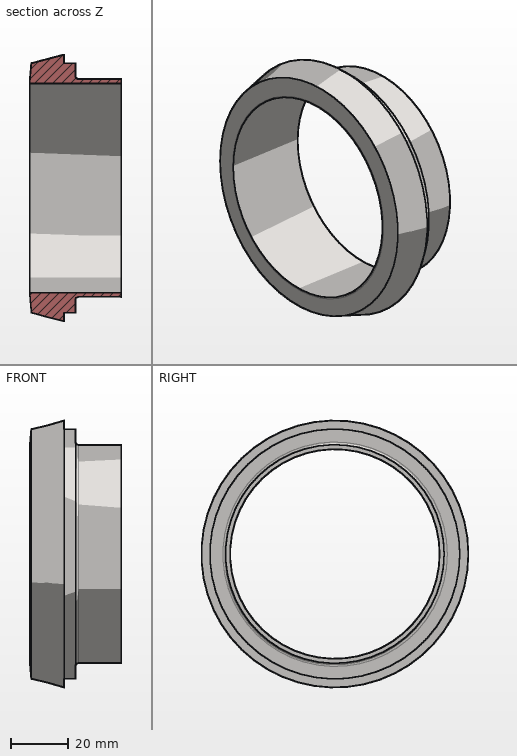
import cadquery as cq
total_length = 32.0
face_cone_depth = 0.6
flange_end = 12.0
collar_end = 16.0

flange_diameter = 93.0
collar_diameter = 87.0
pipe_diameter = 76.1
bore_diameter = 72.8

rim_land_width = 0.5
root_fillet = 1.0

flange_radius = flange_diameter / 2
collar_radius = collar_diameter / 2
pipe_radius = pipe_diameter / 2
bore_radius = bore_diameter / 2


def ring_profile():
    """Half section: X is the ring axis and Y is the radius."""
    return (
        cq.Workplane("XY")
        .moveTo(0, bore_radius)
        .lineTo(0, bore_radius + rim_land_width)
        .lineTo(face_cone_depth, collar_radius)
        .lineTo(flange_end, flange_radius)
        .lineTo(flange_end, collar_radius)
        .lineTo(collar_end, collar_radius)
        .lineTo(collar_end, pipe_radius + root_fillet)
        .radiusArc((collar_end + root_fillet, pipe_radius), -root_fillet)
        .lineTo(total_length, pipe_radius)
        .lineTo(total_length, bore_radius)
        .close()
    )


result = ring_profile().revolve(360, (0, 0, 0), (1, 0, 0))